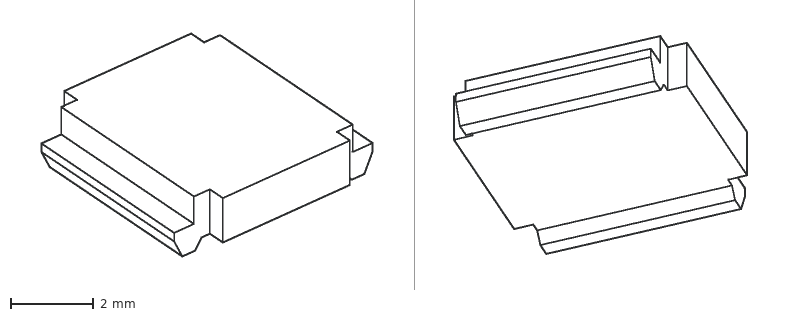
import cadquery as cq

overall_x = 6.1
overall_y = 6.25
overall_z = 1.6

body_y = 5.0
corner_notch = 0.5
body_bottom_z = 0.3

rail_length = overall_x - 2 * corner_notch
rail_top_z = 0.8
rail_edge_height = 0.25
rail_outer_taper = 0.26
rail_foot_width = 0.4
rail_inner_taper = 0.21


def make_body():
    """Plate with a plus-shaped outline, made of two crossing blocks."""
    height = overall_z - body_bottom_z
    base = cq.Workplane("XY").workplane(offset=body_bottom_z)
    wide_block = base.rect(overall_x, body_y - 2 * corner_notch).extrude(height)
    deep_block = base.rect(rail_length, body_y).extrude(height)
    return wide_block.union(deep_block)


def make_rail():
    """Rail on the +Y side: vertical outer edge, tapering down to a narrow foot."""
    outer_y = overall_y / 2
    foot_outer_y = outer_y - rail_outer_taper
    foot_inner_y = foot_outer_y - rail_foot_width
    inner_y = foot_inner_y - rail_inner_taper
    profile = [
        (outer_y, rail_top_z),
        (outer_y, rail_top_z - rail_edge_height),
        (foot_outer_y, 0),
        (foot_inner_y, 0),
        (inner_y, body_bottom_z),
        (inner_y, rail_top_z),
    ]
    return cq.Workplane("YZ").polyline(profile).close().extrude(rail_length / 2, both=True)


rail = make_rail()
result = make_body().union(rail).union(rail.mirror("XZ")).clean()